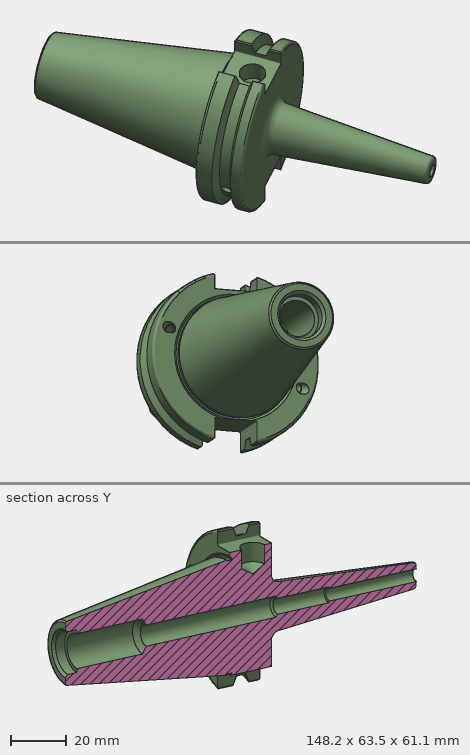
import cadquery as cq
import math


total_length = 148.2
gauge_x = 68.0
flange_rear_x = 69.4
flange_front_x = 87.2
groove_x = 79.3
shank_start_x = 90.7

gauge_radius = 44.5 / 2
taper_rate = 7 / 24 / 2
taper_end_radius = gauge_radius - gauge_x * taper_rate
taper_end_chamfer = 0.6
neck_radius = 43.7 / 2
neck_start_x = 68.8
relief_radius = 23.4
relief_chamfer = 0.9

flange_radius = 63.5 / 2
flange_fillet = 0.9
groove_floor_radius = 56.3 / 2
groove_floor_width = 4.0
groove_top_width = 7.1

shank_radius = 19.0 / 2
shank_angle = 4.4
shank_root_fillet = 3.3
shank_tip_fillet = 1.2

mouth_radius = 18.4 / 2
pilot_radius = 16.3 / 2
pilot_depth = 4.9
core_radius = 13.3 / 2
core_depth = 32.6
channel_radius = 8.0 / 2
channel_end_x = 89.0
step_radius = 6.0 / 2
step_end_x = 111.2
tip_bore_radius = 4.7 / 2
drill_half_angle = 59.0

slot_width = 16.2
slot_corner_fillet = 0.5
slot_edge_chamfer = 0.6
upper_slot_floor = 24.9
lower_slot_floor = 22.7

pocket_diameter = 9.5
pocket_depth = 7.4

coolant_angle = 20.0
coolant_slope = 35.0
coolant_face_radius = 27.1
coolant_mouth_diameter = 4.0
coolant_mouth_depth = 2.1
coolant_channel_diameter = 3.3
coolant_groove_diameter = 4.0


def drill_cone_length(large_radius, small_radius):
    """Axial length of the conical floor that a drill leaves between two radii."""
    return (large_radius - small_radius) / math.tan(math.radians(drill_half_angle))


def revolve_about_x(profile):
    """Solid of revolution from an open outline that starts and ends on the X axis."""
    return profile.close().revolve(360, (0, 0, 0), (1, 0, 0))


def make_body():
    """Outer shape: taper, relieved neck, grooved flange and slender shank."""
    groove_floor_half = groove_floor_width / 2
    groove_top_half = groove_top_width / 2
    shank_length = total_length - shank_start_x
    tip_radius = shank_radius - shank_length * math.tan(math.radians(shank_angle))

    body = revolve_about_x(
        cq.Workplane("XZ")
        .moveTo(0, 0)
        .lineTo(0, taper_end_radius - taper_end_chamfer)
        .lineTo(taper_end_chamfer, taper_end_radius + taper_end_chamfer * taper_rate)
        .lineTo(gauge_x, gauge_radius)
        .lineTo(neck_start_x, neck_radius)
        .lineTo(flange_rear_x + relief_chamfer, neck_radius)
        .lineTo(flange_rear_x + relief_chamfer, relief_radius - relief_chamfer)
        .lineTo(flange_rear_x, relief_radius)
        .lineTo(flange_rear_x, flange_radius - flange_fillet)
        .tangentArcPoint((flange_fillet, flange_fillet))
        .lineTo(groove_x - groove_top_half, flange_radius)
        .lineTo(groove_x - groove_floor_half, groove_floor_radius)
        .lineTo(groove_x + groove_floor_half, groove_floor_radius)
        .lineTo(groove_x + groove_top_half, flange_radius)
        .lineTo(flange_front_x - flange_fillet, flange_radius)
        .tangentArcPoint((flange_fillet, -flange_fillet))
        .lineTo(flange_front_x, shank_radius + shank_root_fillet)
        .tangentArcPoint((shank_root_fillet, -shank_root_fillet))
        .lineTo(shank_start_x, shank_radius)
        .lineTo(total_length, tip_radius)
        .lineTo(total_length, 0)
    )
    return body.faces(">X").edges().fillet(shank_tip_fillet)


def make_bore():
    """Stepped bore that runs through the whole part."""
    mouth_chamfer = mouth_radius - pilot_radius
    core_cone_end_x = core_depth + drill_cone_length(core_radius, channel_radius)
    channel_cone_end_x = channel_end_x + drill_cone_length(channel_radius, step_radius)
    step_cone_end_x = step_end_x + drill_cone_length(step_radius, tip_bore_radius)
    return revolve_about_x(
        cq.Workplane("XY")
        .moveTo(0, 0)
        .lineTo(0, mouth_radius)
        .lineTo(mouth_chamfer, pilot_radius)
        .lineTo(pilot_depth, pilot_radius)
        .lineTo(pilot_depth, core_radius)
        .lineTo(core_depth, core_radius)
        .lineTo(core_cone_end_x, channel_radius)
        .lineTo(channel_end_x, channel_radius)
        .lineTo(channel_cone_end_x, step_radius)
        .lineTo(step_end_x, step_radius)
        .lineTo(step_cone_end_x, tip_bore_radius)
        .lineTo(total_length, tip_bore_radius)
        .lineTo(total_length, 0)
    )


def make_drive_slot(floor_distance, turn):
    """Cutter for one drive slot, with rounded floor corners and flared where it leaves the flange rim."""
    half_width = slot_width / 2
    rim_height = math.sqrt(flange_radius**2 - half_width**2)
    flare_start = rim_height - slot_edge_chamfer
    flare = flange_radius - flare_start
    section = (
        cq.Workplane("YZ")
        .moveTo(-half_width - flare, flange_radius)
        .lineTo(-half_width, flare_start)
        .lineTo(-half_width, floor_distance + slot_corner_fillet)
        .tangentArcPoint((slot_corner_fillet, -slot_corner_fillet))
        .lineTo(half_width - slot_corner_fillet, floor_distance)
        .tangentArcPoint((slot_corner_fillet, slot_corner_fillet))
        .lineTo(half_width, flare_start)
        .lineTo(half_width + flare, flange_radius)
        .close()
    )
    cutter = section.extrude(flange_front_x - flange_rear_x).translate((flange_rear_x, 0, 0))
    return cutter.rotate((0, 0, 0), (1, 0, 0), turn)


def make_slot_pocket():
    """Blind drilled pocket in the floor of the upper slot."""
    radius = pocket_diameter / 2
    cone_depth = pocket_depth + drill_cone_length(radius, 0)
    return (
        cq.Workplane("XZ")
        .moveTo(0, 0)
        .lineTo(radius, 0)
        .lineTo(radius, -pocket_depth)
        .lineTo(0, -cone_depth)
        .close()
        .revolve(360, (0, 0, 0), (0, 1, 0))
        .translate((groove_x, 0, upper_slot_floor))
    )


def make_coolant_holes(turn):
    """Stepped sloping hole from the flange rear face and the radial groove hole that it meets."""
    slope = math.radians(coolant_slope)
    run = groove_x - flange_rear_x
    meeting_radius = coolant_face_radius - run * math.tan(slope)
    face_center = cq.Vector(flange_rear_x, coolant_face_radius, 0)
    inward = cq.Vector(math.cos(slope), -math.sin(slope), 0)
    outward = cq.Vector(0, 1, 0)
    groove_hole_end = meeting_radius - coolant_groove_diameter

    channel_length = run / math.cos(slope)
    channel = cq.Solid.makeCylinder(coolant_channel_diameter / 2, channel_length, face_center, inward)
    mouth = cq.Solid.makeCylinder(
        coolant_mouth_diameter / 2,
        coolant_mouth_depth + coolant_mouth_diameter,
        face_center - inward * coolant_mouth_diameter,
        inward,
    )
    groove_hole = cq.Solid.makeCylinder(
        coolant_groove_diameter / 2,
        flange_radius - groove_hole_end,
        cq.Vector(groove_x, groove_hole_end, 0),
        outward,
    )
    holes = cq.Workplane(channel.fuse(mouth, groove_hole))
    return holes.rotate((0, 0, 0), (1, 0, 0), turn)


result = make_body().cut(make_bore())
result = result.cut(make_drive_slot(upper_slot_floor, 0))
result = result.cut(make_drive_slot(lower_slot_floor, 180))
result = result.cut(make_slot_pocket())
for half_turn in (0, 180):
    result = result.cut(make_coolant_holes(coolant_angle + half_turn))